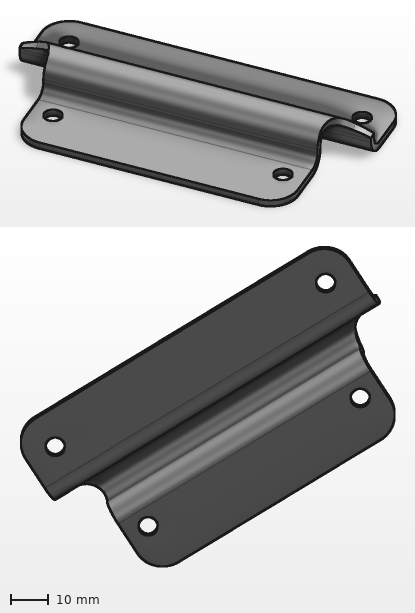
import cadquery as cq
import math

length = 102.0
width = 54.0
height = 12.4
thickness = 2.0

crown_radius = 6.0
bend_radius = 3.4
bore_radius = crown_radius - thickness
mid_radius = crown_radius - thickness / 2
crown_z = height - crown_radius
foot_y = crown_radius + bend_radius
bend_z = thickness + bend_radius

short_length = 79.6
corner_radius = 8.0
hole_diameter = 5.1
long_hole_x = 42.5
long_hole_y = 17.5
short_hole_x = 33.4
short_hole_y = -14.3

notch_start_angle = math.radians(6.5)
notch_slope = math.radians(23.0)
notch_radius = 10.2
notch_depth = (length - short_length) / 2
line_x = notch_depth - notch_radius * (1 - math.sin(notch_slope))
line_rise = line_x * math.tan(notch_slope)
arc_rise = notch_radius * math.cos(notch_slope)
line_end_angle = notch_start_angle + line_rise / mid_radius
notch_end_angle = line_end_angle + arc_rise / mid_radius

clearance = 1.0
tool_length = notch_depth + clearance
curve_steps = 12


def profile():
    """Sheet cross-section: two flat flanges joined by a rounded hump."""
    diagonal = math.sqrt(0.5)
    inner_bend = bend_radius * diagonal
    outer_bend = (bend_radius + thickness) * diagonal
    edge = width / 2
    return (
        cq.Workplane("YZ")
        .workplane(offset=-length / 2)
        .moveTo(-edge, 0)
        .lineTo(-foot_y, 0)
        .threePointArc((-foot_y + outer_bend, bend_z - outer_bend), (-bore_radius, bend_z))
        .lineTo(-bore_radius, crown_z)
        .threePointArc((0, crown_z + bore_radius), (bore_radius, crown_z))
        .lineTo(bore_radius, bend_z)
        .threePointArc((foot_y - outer_bend, bend_z - outer_bend), (foot_y, 0))
        .lineTo(edge, 0)
        .lineTo(edge, thickness)
        .lineTo(foot_y, thickness)
        .threePointArc((foot_y - inner_bend, bend_z - inner_bend), (crown_radius, bend_z))
        .lineTo(crown_radius, crown_z)
        .threePointArc((0, height), (-crown_radius, crown_z))
        .lineTo(-crown_radius, bend_z)
        .threePointArc((-foot_y + inner_bend, bend_z - inner_bend), (-foot_y, thickness))
        .lineTo(-edge, thickness)
        .close()
    )


def line_point(t):
    """Inset and angle around the crown, along the notch's sloped line."""
    return line_x * t, notch_start_angle + line_rise * t / mid_radius


def arc_point(t):
    """Inset and angle around the crown, along the notch's arc."""
    heading = notch_slope + (math.pi / 2 - notch_slope) * t
    inset = line_x + notch_radius * (math.sin(heading) - math.sin(notch_slope))
    rise = notch_radius * (math.cos(notch_slope) - math.cos(heading))
    return inset, line_end_angle + rise / mid_radius


def wrapped_tool(edge_point):
    """Solid between the sheet's -X end and a notch edge, with radial side faces."""

    def curve(radius, on_edge):
        points = []
        for step in range(curve_steps + 1):
            inset, angle = edge_point(step / curve_steps)
            x = -length / 2 + (inset if on_edge else -clearance)
            points.append(cq.Vector(x, radius * math.cos(angle), crown_z + radius * math.sin(angle)))
        return cq.Edge.makeSpline(points)

    inner = bore_radius - clearance
    outer = crown_radius + clearance
    rails = [curve(inner, True), curve(outer, True), curve(outer, False), curve(inner, False)]
    faces = [cq.Face.makeRuledSurface(rails[i - 1], rails[i]) for i in range(4)]
    starts = [rail.startPoint() for rail in rails]
    ends = [rail.endPoint() for rail in rails]
    for corners in (starts, ends):
        faces.append(cq.Face.makeFromWires(cq.Wire.makePolygon(corners, close=True)))
    return cq.Workplane(cq.Solid.makeSolid(cq.Shell.makeShell(faces)))


def short_end_tool():
    """Solid that shortens the sheet from the end of the notch to the -Y edge."""
    reach = width
    return (
        cq.Workplane("YZ")
        .workplane(offset=-length / 2 - clearance)
        .moveTo(0, crown_z)
        .lineTo(reach * math.cos(notch_end_angle), crown_z + reach * math.sin(notch_end_angle))
        .lineTo(-reach, -clearance)
        .lineTo(0, -clearance)
        .close()
        .extrude(tool_length)
    )


result = profile().extrude(length)
for tool in (short_end_tool(), wrapped_tool(line_point), wrapped_tool(arc_point)):
    result = result.cut(tool).cut(tool.mirror("YZ"))

for side in (">Y", "<Y"):
    result = result.edges("|Z").edges(side).fillet(corner_radius)

hole_centers = [
    (sign * x, y)
    for x, y in ((long_hole_x, long_hole_y), (short_hole_x, short_hole_y))
    for sign in (-1, 1)
]
holes = cq.Workplane("XY").pushPoints(hole_centers).circle(hole_diameter / 2).extrude(thickness)
result = result.cut(holes)